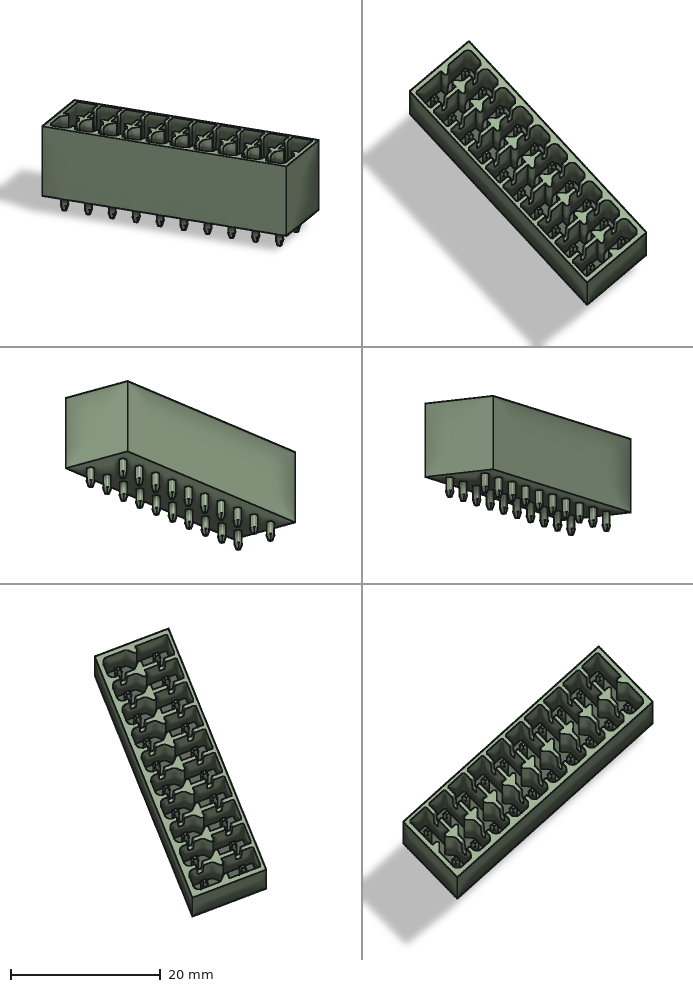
import cadquery as cq
import math

POLE_COUNT = 10
PITCH = 3.5
ROW_SPACING = 5.5

LENGTH = 35.8
WIDTH = 10.6
HEIGHT = 10.0
FLOOR_Z = 1.5

CAVITY_HALF_WIDTH = 1.47
CAVITY_BACK_Y = 4.8
CAVITY_FRONT_Y = -4.6
SHOULDER_Y = 0.27
NECK_HALF_WIDTH = 0.62
NECK_TIP_RADIUS = 0.3
FLANK_RADIUS = 0.8
FRONT_CORNER_RADIUS = 0.8
BACK_CORNER_RADIUS = 0.25
BACK_WALL_DRAFT = 0.06

SLOT_FLOOR_Z = 6.5
SLOT_TOP_HALF_WIDTH = 0.48
SLOT_FLOOR_HALF_WIDTH = 0.36
SLOT_RADIUS = 0.25

PIN_SIZE = 0.8
PIN_EDGE_RADIUS = 0.15
PIN_BOTTOM_Z = -2.6
PIN_TOP_Z = 7.5
TIP_LENGTH = 0.8
TIP_SIZE = 0.4

ROW_YS = (-ROW_SPACING / 2, ROW_SPACING / 2)
POLE_XS = [(i - (POLE_COUNT - 1) / 2) * PITCH for i in range(POLE_COUNT)]


def square_half():
    """+Y half of a cavity; its back wall leans outward towards the top."""
    side_profile = [
        (SHOULDER_Y, FLOOR_Z),
        (CAVITY_BACK_Y - BACK_WALL_DRAFT, FLOOR_Z),
        (CAVITY_BACK_Y, HEIGHT),
        (SHOULDER_Y, HEIGHT),
    ]
    return (
        cq.Workplane("YZ")
        .polyline(side_profile)
        .close()
        .extrude(CAVITY_HALF_WIDTH, both=True)
        .faces(">Y")
        .edges("not |X")
        .fillet(BACK_CORNER_RADIUS)
    )


def neck_and_round_half():
    """Neck and -Y half of a cavity, bounded at +Y by the shoulder line."""
    diagonal = math.sqrt(0.5)
    tip_x = NECK_HALF_WIDTH + NECK_TIP_RADIUS
    tip_y = SHOULDER_Y - NECK_TIP_RADIUS
    flank_start_x = tip_x - NECK_TIP_RADIUS * diagonal
    flank_start_y = tip_y - NECK_TIP_RADIUS * diagonal
    flank_corner_y = flank_start_y - (CAVITY_HALF_WIDTH - flank_start_x)
    ease = FLANK_RADIUS * math.tan(math.pi / 8)
    flank_end_x = CAVITY_HALF_WIDTH - ease * diagonal
    flank_end_y = flank_corner_y + ease * diagonal
    side_start_y = flank_corner_y - ease
    side_end_y = CAVITY_FRONT_Y + FRONT_CORNER_RADIUS
    front_x = CAVITY_HALF_WIDTH - FRONT_CORNER_RADIUS

    return (
        cq.Workplane("XY", origin=(0, 0, FLOOR_Z))
        .moveTo(-tip_x, SHOULDER_Y)
        .lineTo(tip_x, SHOULDER_Y)
        .threePointArc((NECK_HALF_WIDTH, tip_y), (flank_start_x, flank_start_y))
        .lineTo(flank_end_x, flank_end_y)
        .tangentArcPoint((CAVITY_HALF_WIDTH, side_start_y), relative=False)
        .lineTo(CAVITY_HALF_WIDTH, side_end_y)
        .tangentArcPoint((front_x, CAVITY_FRONT_Y), relative=False)
        .lineTo(-front_x, CAVITY_FRONT_Y)
        .tangentArcPoint((-CAVITY_HALF_WIDTH, side_end_y), relative=False)
        .lineTo(-CAVITY_HALF_WIDTH, side_start_y)
        .tangentArcPoint((-flank_end_x, flank_end_y), relative=False)
        .lineTo(-flank_start_x, flank_start_y)
        .threePointArc((-NECK_HALF_WIDTH, tip_y), (-tip_x, SHOULDER_Y))
        .close()
        .extrude(HEIGHT - FLOOR_Z)
    )


def wall_slot(row_y):
    """Tapered slot with rounded floor corners and flared top, spanning all inner walls."""
    span = POLE_XS[-1] - POLE_XS[0]
    clearance_half_width = SLOT_TOP_HALF_WIDTH + 2 * SLOT_RADIUS
    clearance_z = HEIGHT + SLOT_RADIUS
    profile = [
        (-clearance_half_width, clearance_z),
        (-clearance_half_width, HEIGHT),
        (-SLOT_TOP_HALF_WIDTH, HEIGHT),
        (-SLOT_FLOOR_HALF_WIDTH, SLOT_FLOOR_Z),
        (SLOT_FLOOR_HALF_WIDTH, SLOT_FLOOR_Z),
        (SLOT_TOP_HALF_WIDTH, HEIGHT),
        (clearance_half_width, HEIGHT),
        (clearance_half_width, clearance_z),
    ]
    slot = (
        cq.Workplane("YZ", origin=(POLE_XS[0], row_y, 0))
        .polyline(profile)
        .close()
        .extrude(span)
    )
    rounded_edges = cq.selectors.BoxSelector(
        (-LENGTH, row_y - clearance_half_width + SLOT_RADIUS, 0),
        (LENGTH, row_y + clearance_half_width - SLOT_RADIUS, HEIGHT + SLOT_RADIUS / 2),
    )
    return slot.edges("|X").edges(rounded_edges).fillet(SLOT_RADIUS)


def pin():
    """Square contact pin with rounded edges and a tapered tip at each end."""
    shaft_bottom = PIN_BOTTOM_Z + TIP_LENGTH
    shaft_top = PIN_TOP_Z - TIP_LENGTH
    shaft = (
        cq.Workplane("XY", origin=(0, 0, shaft_bottom))
        .rect(PIN_SIZE, PIN_SIZE)
        .extrude(shaft_top - shaft_bottom)
        .edges("|Z")
        .fillet(PIN_EDGE_RADIUS)
    )
    for base_z, tip_length in ((shaft_bottom, -TIP_LENGTH), (shaft_top, TIP_LENGTH)):
        tip = (
            cq.Workplane("XY", origin=(0, 0, base_z))
            .rect(PIN_SIZE, PIN_SIZE)
            .workplane(offset=tip_length)
            .rect(TIP_SIZE, TIP_SIZE)
            .loft(combine=True)
        )
        shaft = shaft.union(tip)
    return shaft


housing = cq.Workplane("XY").box(LENGTH, WIDTH, HEIGHT, centered=(True, True, False))

cavity = square_half().union(neck_and_round_half())
for pole_x in POLE_XS:
    housing = housing.cut(cavity.translate((pole_x, 0, 0)))

for row_y in ROW_YS:
    housing = housing.cut(wall_slot(row_y))

contact = pin()
for pole_x in POLE_XS:
    for row_y in ROW_YS:
        housing = housing.union(contact.translate((pole_x, row_y, 0)))

result = housing